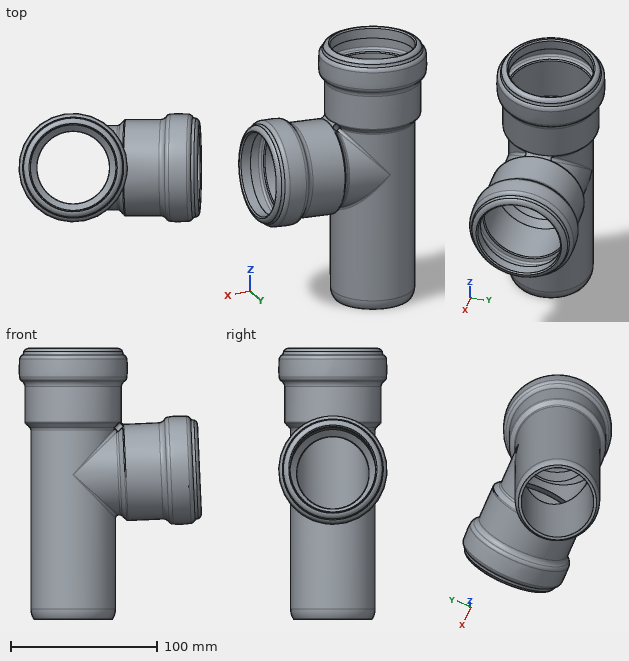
import cadquery as cq
import math


total_height = 185.6
reach = 86.6
branch_rise = 2.5
crotch_radius = 2.0

pipe_radius = 58.0 / 2
bore_radius = 49.6 / 2

spigot_tip_radius = 26.8
spigot_round_length = 7.1

sleeve_radius = 66.1 / 2
sleeve_foot_depth = 51.0
sleeve_head_depth = 26.4
foot_edge_round = 1.2
foot_corner_round = 2.0
bead_radius = 37.2
bead_edge_radius = 36.8
bead_top_depth = 7.4
bead_bottom_depth = 19.7
bead_foot_radius = 35.2
bead_foot_depth = 22.5
lip_side_radius = 33.9
lip_side_depth = 2.4
neck_radius = 34.6
neck_depth = 4.6

lip_sag = 0.64
neck_sag = 0.2
bead_corner_sag = 0.4
bead_foot_sag = 0.5
groove_corner_sag = 0.3

mouth_radius = 30.2
lip_bore_radius = 58.5 / 2
lip_chamfer_depth = 1.0
lip_bottom_depth = 8.1
groove_radius = 67.6 / 2
groove_bottom_depth = 16.2
groove_corner_radius = 32.6
groove_corner_depth = 17.8
groove_ledge_radius = 30.3
groove_ledge_depth = 18.4
sleeve_bore_radius = 58.8 / 2
sleeve_bore_start = 19.1

cone_slope = math.radians(45)
socket_wall_end = sleeve_foot_depth + (sleeve_radius - pipe_radius) / math.tan(cone_slope)
stop_end = sleeve_foot_depth + (sleeve_bore_radius - bore_radius) / math.tan(cone_slope)
spigot_length = total_height - reach
cone_start = reach - socket_wall_end
stub_length = 50.0


def turned(outline):
    return outline.revolve(360, (0, 0, 0), (0, 1, 0))


def at(radius, depth):
    """Outline point of an upright socket, depth below its mouth."""
    return (radius, reach - depth)


def bulge(start, end, sagitta):
    """Point on the arc from start to end, lying sagitta to the left of the chord's middle."""
    dx = end[0] - start[0]
    dy = end[1] - start[1]
    chord = math.hypot(dx, dy)
    return (
        (start[0] + end[0]) / 2 - dy * sagitta / chord,
        (start[1] + end[1]) / 2 + dx * sagitta / chord,
    )


def arc(outline, start, end, sagitta):
    """Arc from the outline's present end to a new one."""
    return outline.threePointArc(bulge(start, end, sagitta), end)


def corner_arc(outline, before, corner, after, radius):
    """Line to, then round, the corner between two straight stretches."""
    tip = cq.Vector(*corner)
    back = (cq.Vector(*before) - tip).normalized()
    ahead = (cq.Vector(*after) - tip).normalized()
    half_angle = back.getAngle(ahead) / 2
    setback = radius / math.tan(half_angle)
    apex_gap = radius / math.sin(half_angle) - radius
    start = tip + back * setback
    apex = tip + (back + ahead).normalized() * apex_gap
    end = tip + ahead * setback
    return outline.lineTo(start.x, start.y).threePointArc((apex.x, apex.y), (end.x, end.y))


def socket_outside():
    mouth = at(mouth_radius, 0)
    lip_side = at(lip_side_radius, lip_side_depth)
    neck = at(neck_radius, neck_depth)
    bead_top = at(bead_edge_radius, bead_top_depth)
    bead_bottom = at(bead_edge_radius, bead_bottom_depth)
    bead_foot = at(bead_foot_radius, bead_foot_depth)
    sleeve_head = at(sleeve_radius, sleeve_head_depth)
    sleeve_foot = at(sleeve_radius, sleeve_foot_depth)
    pipe_top = at(pipe_radius, socket_wall_end)

    outline = cq.Workplane("XZ").moveTo(0, reach).lineTo(*mouth)
    outline = arc(outline, mouth, lip_side, lip_sag)
    outline = arc(outline, lip_side, neck, -neck_sag)
    outline = arc(outline, neck, bead_top, bead_corner_sag)
    outline = arc(outline, bead_top, bead_bottom, bead_radius - bead_edge_radius)
    outline = arc(outline, bead_bottom, bead_foot, bead_corner_sag)
    outline = arc(outline, bead_foot, sleeve_head, -bead_foot_sag)
    outline = corner_arc(outline, sleeve_head, sleeve_foot, pipe_top, foot_edge_round)
    outline = corner_arc(outline, sleeve_foot, pipe_top, (pipe_radius, 0), foot_corner_round)
    pipe_join = cone_start - foot_corner_round * math.tan(cone_slope / 2)
    outline = outline.lineTo(0, pipe_join).close()
    return turned(outline)


def socket_inside():
    groove_bottom = at(groove_radius, groove_bottom_depth)
    groove_corner = at(groove_corner_radius, groove_corner_depth)
    outline = (
        cq.Workplane("XZ")
        .moveTo(0, reach)
        .lineTo(*at(mouth_radius, 0))
        .lineTo(*at(lip_bore_radius, lip_chamfer_depth))
        .lineTo(*at(lip_bore_radius, lip_bottom_depth))
        .lineTo(*at(groove_radius, lip_bottom_depth))
        .lineTo(*groove_bottom)
    )
    outline = arc(outline, groove_bottom, groove_corner, groove_corner_sag)
    outline = (
        outline.lineTo(*at(groove_ledge_radius, groove_ledge_depth))
        .lineTo(*at(sleeve_bore_radius, sleeve_bore_start))
        .lineTo(*at(sleeve_bore_radius, sleeve_foot_depth))
        .lineTo(*at(bore_radius, stop_end))
        .lineTo(bore_radius, 0)
        .lineTo(0, 0)
        .close()
    )
    return turned(outline)


def spigot_outside():
    inset = pipe_radius - spigot_tip_radius
    round_radius = (inset**2 + spigot_round_length**2) / (2 * inset)
    half_sweep = math.asin(spigot_round_length / round_radius) / 2
    round_start = spigot_round_length - spigot_length
    round_middle = (
        pipe_radius - round_radius * (1 - math.cos(half_sweep)),
        round_start - round_radius * math.sin(half_sweep),
    )
    outline = (
        cq.Workplane("XZ")
        .lineTo(pipe_radius, 0)
        .lineTo(pipe_radius, round_start)
        .threePointArc(round_middle, (spigot_tip_radius, -spigot_length))
        .lineTo(0, -spigot_length)
        .close()
    )
    return turned(outline)


def spigot_inside():
    return cq.Workplane("XY").circle(bore_radius).extrude(-spigot_length)


def as_branch(body):
    return body.rotate((0, 0, 0), (0, 1, 0), 90 - branch_rise)


def filleted_tee():
    """Plain pipes meeting at the tee centre, with their crossing curves rounded."""
    stub = turned(cq.Workplane("XZ").rect(pipe_radius, stub_length, centered=False))
    tee = spigot_outside().union(stub).union(as_branch(stub))
    crossing = [edge for edge in tee.edges().vals() if edge.geomType() == "ELLIPSE"]
    return cq.Workplane(tee.val().fillet(crotch_radius, crossing))


def crotch_web():
    """Fills the narrow slit between the two socket cones above the crotch.

    The web lies in the plane halfway between the two axes. Each of its ends is hollowed
    by a cylinder that touches both cones, which carries on the fillet of the pipes.
    """
    mid_angle = math.radians((90 + branch_rise) / 2)
    sleeve_start = reach - sleeve_foot_depth
    offset_rise = crotch_radius / math.cos(cone_slope)

    def hollow_centre(along):
        """Place, in the middle plane, of a ball that touches both cones."""
        axial = along * math.sin(mid_angle)
        radial = pipe_radius + axial - cone_start + offset_rise
        return along, math.sqrt(radial**2 - (along * math.cos(mid_angle)) ** 2)

    def contact(centre):
        """The same place, moved back to where the ball touches the cones."""
        along, side = centre
        radial = math.hypot(along * math.cos(mid_angle), side)
        return along, side - crotch_radius * math.cos(cone_slope) * side / radial

    def sleeve_edge(side):
        """Distance along the middle plane at which the cones end."""
        across = math.sqrt(sleeve_radius**2 - side**2)
        return across * math.cos(mid_angle) + sleeve_start * math.sin(mid_angle)

    low_along = (cone_start + crotch_radius - offset_rise) / math.sin(mid_angle)
    low = hollow_centre(low_along)
    high = hollow_centre(sleeve_edge(low[1]))
    low_corner = contact(low)
    high_corner = contact(high)
    web = (
        cq.Workplane("XY")
        .moveTo(low_corner[0], -low_corner[1])
        .lineTo(high_corner[0], -high_corner[1])
        .threePointArc((sleeve_edge(0), 0), high_corner)
        .lineTo(*low_corner)
        .close()
        .extrude(crotch_radius, both=True)
    )
    for side in (-1, 1):
        base = cq.Vector(low[0], side * low[1], 0)
        direction = cq.Vector(high[0], side * high[1], 0) - base
        hollow_length = 3 * direction.Length
        hollow = cq.Solid.makeCylinder(crotch_radius, hollow_length, base - direction, direction)
        web = web.cut(cq.Workplane(hollow))
    return web.rotate((0, 0, 0), (0, 1, 0), -math.degrees(mid_angle))


socket = socket_outside()
outside = filleted_tee().union(socket).union(as_branch(socket)).union(crotch_web())

socket_bore = socket_inside()
bore = spigot_inside().union(socket_bore).union(as_branch(socket_bore))

result = outside.cut(bore).solids()